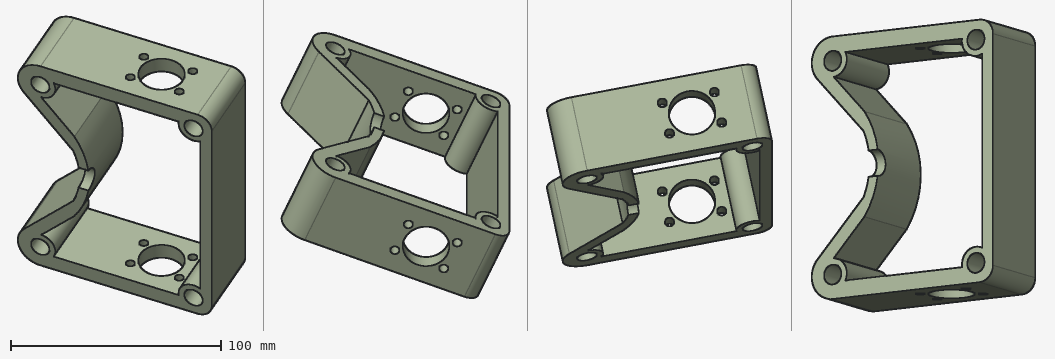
import cadquery as cq
import math

length = 101.6
depth = 38.1
height = 127.0
half_height = height / 2
left = -length / 2
right = length / 2

end_wall = 8.3
right_wall = 6.1
slanted_wall = 6.9
left_corner_radius = 11.8
right_corner_radius = 7.5

arc_center_x = left - 7.6
outer_arc_radius = 40.0
inner_arc_radius = 45.1
outer_arc_half_height = 16.0

boss_radius = 7.9
boss_hole_radius = 4.8
right_boss_inset = 9.5
left_boss_x = left + left_corner_radius
left_boss_z = half_height - left_corner_radius
boss_centers = [
    (x, side * z)
    for x, z in (
        (left_boss_x, left_boss_z),
        (right - right_boss_inset, half_height - right_boss_inset),
    )
    for side in (1, -1)
]

bore_x = left + 66.5
bore_radius = 11.0
screw_radius = 2.2
screw_spacing_x = 25.4
screw_spacing_y = 15.9
screw_pattern_angle = 1.1

notch_radius = 6.4

outer_arc_end_x = arc_center_x + math.sqrt(outer_arc_radius**2 - outer_arc_half_height**2)
run = outer_arc_end_x - left_boss_x
drop = left_boss_z - outer_arc_half_height
slant = math.atan2(drop, run) - math.asin(left_corner_radius / math.hypot(run, drop))
tangent_x = left_boss_x - left_corner_radius * math.sin(slant)
tangent_z = left_boss_z - left_corner_radius * math.cos(slant)

inner_offset = left_corner_radius - slanted_wall
slant_top_z = left_boss_z - inner_offset / math.cos(slant)
along = math.cos(slant) * (left_boss_x - arc_center_x) - math.sin(slant) * slant_top_z
start_distance = math.hypot(left_boss_x - arc_center_x, slant_top_z)
slant_length = -along + math.sqrt(along**2 - start_distance**2 + inner_arc_radius**2)
inner_arc_end_x = left_boss_x + slant_length * math.cos(slant)
inner_arc_end_z = slant_top_z - slant_length * math.sin(slant)


def extrude_through(outline):
    """Extrude an XZ outline over the full depth."""
    return outline.extrude(depth / 2, both=True)


def make_outer_body():
    corner_mid = (math.pi / 2 + (1.5 * math.pi - slant)) / 2
    mid_x = left_boss_x + left_corner_radius * math.cos(corner_mid)
    mid_z = left_boss_z + left_corner_radius * math.sin(corner_mid)
    outline = (
        cq.Workplane("XZ")
        .moveTo(left_boss_x, half_height)
        .threePointArc((mid_x, mid_z), (tangent_x, tangent_z))
        .lineTo(outer_arc_end_x, outer_arc_half_height)
        .threePointArc(
            (arc_center_x + outer_arc_radius, 0),
            (outer_arc_end_x, -outer_arc_half_height),
        )
        .lineTo(tangent_x, -tangent_z)
        .threePointArc((mid_x, -mid_z), (left_boss_x, -half_height))
        .lineTo(right, -half_height)
        .lineTo(right, half_height)
        .close()
    )
    return extrude_through(outline).edges("|Y and >X").fillet(right_corner_radius)


def make_cavity():
    cavity_z = half_height - end_wall
    outline = (
        cq.Workplane("XZ")
        .moveTo(left_boss_x, cavity_z)
        .lineTo(left_boss_x, slant_top_z)
        .lineTo(inner_arc_end_x, inner_arc_end_z)
        .threePointArc(
            (arc_center_x + inner_arc_radius, 0),
            (inner_arc_end_x, -inner_arc_end_z),
        )
        .lineTo(left_boss_x, -slant_top_z)
        .lineTo(left_boss_x, -cavity_z)
        .lineTo(right - right_wall, -cavity_z)
        .lineTo(right - right_wall, cavity_z)
        .close()
    )
    return extrude_through(outline)


def make_boss_cylinders(radius):
    return extrude_through(cq.Workplane("XZ").pushPoints(boss_centers).circle(radius))


def make_end_wall_holes():
    plane = cq.Workplane("XY").center(bore_x, 0)
    bore = plane.circle(bore_radius).extrude(half_height, both=True)
    screws = (
        plane.transformed(rotate=(0, 0, screw_pattern_angle))
        .rarray(screw_spacing_x, screw_spacing_y, 2, 2)
        .circle(screw_radius)
        .extrude(half_height, both=True)
    )
    return bore.union(screws)


def make_notch():
    return (
        cq.Workplane("YZ", origin=(left, 0, 0))
        .center(-depth / 2, 0)
        .circle(notch_radius)
        .extrude(length / 2)
    )


result = (
    make_outer_body()
    .cut(make_cavity())
    .union(make_boss_cylinders(boss_radius))
    .cut(make_boss_cylinders(boss_hole_radius))
    .cut(make_end_wall_holes())
    .cut(make_notch())
)